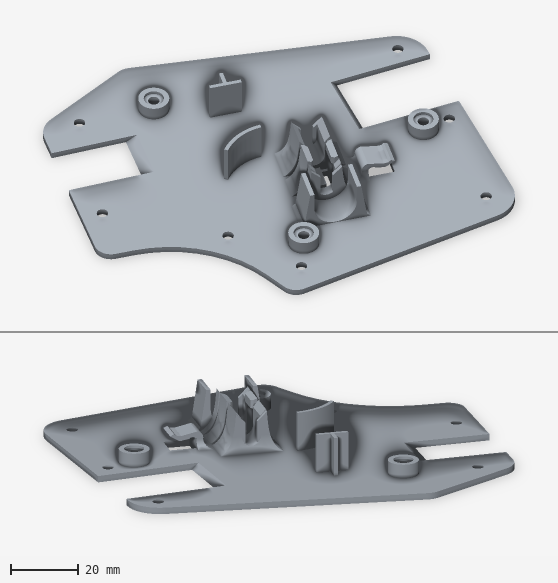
import cadquery as cq
import math

PLATE_T = 2.0
TOP_Z = 15.03
CLEARANCE = 1.0
PLATE_CORNERS = [
    ((8.50, 119.45), 10.0),
    ((89.60, 129.94), 10.0),
    ((107.87, 53.45), 5.0),
    ((77.25, 36.28), 40.0),
    ((77.25, 2.15), 5.0),
    ((17.88, 0.06), 8.0),
    ((-0.09, 30.80), 6.0),
]
HOLE_D = 3.4
HOLES = [
    (13.62, 112.13), (47.06, 118.71), (82.66, 120.18), (97.22, 58.96),
    (78.56, 41.47), (59.06, 8.03), (19.20, 12.06),
]

TOP_NOTCH = dict(corner=(22.29, 88.91), width=22.1, depth=36.0, angle=7.0, bevel=2.0)
BOTTOM_NOTCH = dict(corner=(45.75, 27.77), width=16.9, depth=32.0, angle=182.0, bevel=3.5)

BOSSES = [(49.55, 109.97), (87.80, 62.29), (19.25, 35.04)]
BOSS_D = 9.25
BOSS_H = 4.3
BOSS_RECESS_D = 6.0
BOSS_RECESS_DEPTH = 1.0

GUIDE_TOP_Z = 14.0
GUIDE_T = 1.2
TEE_X = 26.3
TEE_Y = 55.05
TEE_FLANGE = 9.8
TEE_STEM = 4.3
CURVED_CENTER = (64.55, 61.6)
CURVED_R = 17.2
CURVED_START = 184.5
CURVED_END = 235.2

CLIP_Y = 73.95
LEFT_X = (47.8, 58.3)
MIDDLE_X = (59.7, 67.26)
RIGHT_X = (68.4, 71.6)
ARM_BASE = 9.7
ARM_TIP = 4.7
ARM_WAIST = (5.85, 7.0)
ARM_TIP_SLOPE = (0.1, -1.0)
ARM_FOOT_SLOPE = (1.0, -0.45)
BORE_R = 3.0
BORE_Z = 7.3
LEAD_IN_Z = 13.0
FLARE_X = 1.1
FLARE_Z = 7.1
FLARE_SAG = 0.25
LIP_T = 1.1
LIP_Y = 1.9
LIP_Z = 11.7
LIP_RIM_Z = 14.5
BARB_Y = 2.76
BARB_TOP_Z = 14.4
BARB_BOTTOM_Z = 11.9
BARB_CHAMFER = 0.8
SLOT_Y = (1.15, 3.6)
SLOT_X = (59.3, 67.55)

CRADLE_X = (71.46, 81.55)
CRADLE_TOP_Z = 14.75
CRADLE_R = 6.55
CRADLE_AXIS_Z = 8.8
CRADLE_TIP = 7.9
CRADLE_FOOT = 9.67
CRADLE_BASE = 10.9
CRADLE_FOOT_Z = 3.1

TAB_X = (57.1, 65.0)
TAB_BASE_X = (54.46, 67.2)
TAB_OUT = 14.75
TAB_IN = 12.7
TAB_COLUMN_Z = 4.8
TAB_FOOT_MIDDLE = (11.9, 2.8)
TAB_END = 22.9
CURL_SHOULDER = [(13.1, 6.4), (14.6, 7.2)]
CURL_TOP = [(19.5, 6.2), (20.9, 6.3), (21.7, 7.0), (TAB_END, 6.4), (21.1, 5.3)]
CURL_BELLY = [(20.1, 4.75), (18.9, 4.8)]
CURL_ARMPIT_START = (17.0, 5.1)
CURL_ARMPIT = [(15.4, 5.4), (TAB_OUT, TAB_COLUMN_Z)]


def rounded_outline(corners):
    """Closed wire through the corners, each replaced by a tangent arc."""
    path = None
    for i, (corner, radius) in enumerate(corners):
        here = cq.Vector(*corner)
        to_prev = (cq.Vector(*corners[i - 1][0]) - here).normalized()
        to_next = (cq.Vector(*corners[(i + 1) % len(corners)][0]) - here).normalized()
        half = to_prev.getAngle(to_next) / 2
        bisector = (to_prev + to_next).normalized()
        start = here + to_prev * (radius / math.tan(half))
        end = here + to_next * (radius / math.tan(half))
        middle = here + bisector * (radius / math.sin(half) - radius)
        if path is None:
            path = cq.Workplane("XY").moveTo(start.x, start.y)
        else:
            path = path.lineTo(start.x, start.y)
        path = path.threePointArc((middle.x, middle.y), (end.x, end.y))
    return path.close()


def notch(corner, width, depth, angle, bevel):
    """Cutter for an edge notch whose floor slopes outwards towards the underside."""
    side = [(bevel, 0), (0, PLATE_T), (depth, PLATE_T), (depth, 0)]
    cutter = cq.Workplane("YZ").polyline(side).close().extrude(width)
    return cutter.rotate((0, 0, 0), (0, 0, 1), angle).translate((*corner, 0))


def box_between(x, y, z):
    """Box given by its (low, high) limits; y is measured from the clip axis."""
    size = [high - low for low, high in (x, y, z)]
    return cq.Workplane("XY").box(*size, centered=False).translate((x[0], CLIP_Y + y[0], z[0]))


def make_plate():
    plate = rounded_outline(PLATE_CORNERS).extrude(PLATE_T)
    plate = plate.cut(notch(**TOP_NOTCH)).cut(notch(**BOTTOM_NOTCH))
    return plate.cut(cq.Workplane("XY").pushPoints(HOLES).circle(HOLE_D / 2).extrude(PLATE_T))


def add_bosses(body):
    top = PLATE_T + BOSS_H
    body = body.union(cq.Workplane("XY").pushPoints(BOSSES).circle(BOSS_D / 2).extrude(top))
    body = body.cut(cq.Workplane("XY").pushPoints(BOSSES).circle(HOLE_D / 2).extrude(top))
    recess = cq.Workplane("XY", origin=(0, 0, top)).pushPoints(BOSSES)
    return body.cut(recess.circle(BOSS_RECESS_D / 2).extrude(-BOSS_RECESS_DEPTH))


def make_tee():
    flange = cq.Workplane("XY").box(GUIDE_T, TEE_FLANGE, GUIDE_TOP_Z, centered=(False, True, False))
    stem = cq.Workplane("XY").box(TEE_STEM, GUIDE_T, GUIDE_TOP_Z, centered=(False, True, False))
    return flange.union(stem.translate((-TEE_STEM, 0, 0))).translate((TEE_X, TEE_Y, 0))


def make_curved_wall():
    def point(radius, degrees):
        angle = math.radians(degrees)
        return (CURVED_CENTER[0] + radius * math.cos(angle), CURVED_CENTER[1] + radius * math.sin(angle))

    inner = CURVED_R - GUIDE_T / 2
    outer = CURVED_R + GUIDE_T / 2
    halfway = (CURVED_START + CURVED_END) / 2
    return (
        cq.Workplane("XY").moveTo(*point(outer, CURVED_START))
        .threePointArc(point(outer, halfway), point(outer, CURVED_END))
        .lineTo(*point(inner, CURVED_END))
        .threePointArc(point(inner, halfway), point(inner, CURVED_START))
        .close().extrude(GUIDE_TOP_Z)
    )


def clip_plane(x):
    """YZ sketch plane at x, with its origin on the clip axis at z = 0."""
    return cq.Workplane("YZ", origin=(x, CLIP_Y, 0))


def both_sides(half):
    """A half (y > 0) together with its mirror image across the clip axis."""
    return half.union(half.mirror("XZ", (0, CLIP_Y, 0)))


def clip_outside(x):
    """Half of a segment's outside: a concave flank that sweeps out to the foot."""
    return (
        clip_plane(x[0]).lineTo(0, TOP_Z).lineTo(ARM_TIP, TOP_Z)
        .spline([ARM_WAIST, (ARM_BASE, PLATE_T)],
                tangents=[ARM_TIP_SLOPE, ARM_FOOT_SLOPE], includeCurrent=True)
        .lineTo(ARM_BASE, 0).close().extrude(x[1] - x[0])
    )


def clip_mouth(x, half_width, throat_z, rim_z):
    """Half of a cutter: bore bottom, straight wall up to throat_z, then a slope to rim_z."""
    above = TOP_Z + CLEARANCE
    half_angle = math.asin(half_width / BORE_R) / 2
    wall_foot_z = BORE_Z - BORE_R * math.cos(2 * half_angle)
    middle = (BORE_R * math.sin(half_angle), BORE_Z - BORE_R * math.cos(half_angle))
    return (
        clip_plane(x[0]).moveTo(0, BORE_Z - BORE_R)
        .threePointArc(middle, (half_width, wall_foot_z)).lineTo(half_width, throat_z)
        .lineTo(ARM_TIP, rim_z).lineTo(ARM_TIP, above).lineTo(0, above)
        .close().extrude(x[1] - x[0])
    )


def make_left_segment():
    face_x = LEFT_X[0] + FLARE_X
    lip_x = (face_x, face_x + LIP_T)
    half = clip_outside(LEFT_X)
    for bore_x in ((LEFT_X[0], lip_x[0]), (lip_x[1], LEFT_X[1])):
        half = half.cut(clip_mouth(bore_x, BORE_R, LEAD_IN_Z, TOP_Z))
    half = half.cut(clip_mouth(lip_x, LIP_Y, LIP_Z, LIP_RIM_Z))
    flare_middle = (face_x - FLARE_X * FLARE_SAG, (PLATE_T + FLARE_Z) / 2)
    end_cutter = (
        cq.Workplane("XZ", origin=(0, CLIP_Y, 0)).moveTo(LEFT_X[0], PLATE_T)
        .threePointArc(flare_middle, (face_x, FLARE_Z))
        .lineTo(face_x, TOP_Z).lineTo(LEFT_X[0], TOP_Z).close().extrude(-ARM_BASE)
    )
    return both_sides(half.cut(end_cutter))


def make_right_segment():
    lip_x = (RIGHT_X[1] - LIP_T, RIGHT_X[1])
    bore_x = (RIGHT_X[0], lip_x[0])
    half = clip_outside(RIGHT_X)
    half = half.cut(clip_mouth(bore_x, BORE_R, LEAD_IN_Z, TOP_Z))
    return both_sides(half.cut(clip_mouth(lip_x, LIP_Y, LIP_Z, LIP_RIM_Z)))


def make_middle_segment():
    half = clip_outside(MIDDLE_X)
    half = half.cut(clip_mouth(MIDDLE_X, BARB_Y, BARB_TOP_Z, TOP_Z))
    undercut = box_between(MIDDLE_X, SLOT_Y, (PLATE_T, BARB_BOTTOM_Z))
    half = half.cut(undercut)
    for x, inward in ((MIDDLE_X[0], BARB_CHAMFER), (MIDDLE_X[1], -BARB_CHAMFER)):
        corner = cq.Workplane("XY", origin=(x, CLIP_Y + BARB_Y, BARB_BOTTOM_Z))
        corner = corner.lineTo(inward, 0).lineTo(0, BARB_CHAMFER).close()
        half = half.cut(corner.extrude(TOP_Z - BARB_BOTTOM_Z))
    return both_sides(half)


def make_cradle():
    diagonal = CRADLE_R * math.sqrt(0.5)
    half = (
        clip_plane(CRADLE_X[0]).moveTo(0, 0).lineTo(CRADLE_BASE, 0).lineTo(CRADLE_BASE, PLATE_T)
        .lineTo(CRADLE_FOOT, CRADLE_FOOT_Z).lineTo(CRADLE_TIP, CRADLE_TOP_Z)
        .lineTo(CRADLE_R, CRADLE_TOP_Z).lineTo(CRADLE_R, CRADLE_AXIS_Z)
        .threePointArc((diagonal, CRADLE_AXIS_Z - diagonal), (0, CRADLE_AXIS_Z - CRADLE_R))
        .close().extrude(CRADLE_X[1] - CRADLE_X[0])
    )
    return both_sides(half)


def make_tab():
    """Curled spring tab on a column that flares out to the plate on three sides."""
    foot = (
        clip_plane(TAB_BASE_X[0]).moveTo(ARM_BASE, 0).lineTo(TAB_OUT, 0).lineTo(TAB_OUT, TAB_COLUMN_Z)
        .lineTo(TAB_IN, TAB_COLUMN_Z)
        .threePointArc(TAB_FOOT_MIDDLE, (ARM_BASE, PLATE_T))
        .close().extrude(TAB_BASE_X[1] - TAB_BASE_X[0])
    )
    flare_h = TAB_COLUMN_Z - PLATE_T
    left_w = TAB_X[0] - TAB_BASE_X[0]
    right_w = TAB_BASE_X[1] - TAB_X[1]
    sag = 1 - math.sqrt(0.5)
    left_middle = (TAB_X[0] - sag * left_w, PLATE_T + sag * flare_h)
    right_middle = (TAB_X[1] + sag * right_w, PLATE_T + sag * flare_h)
    column = (
        cq.Workplane("XZ", origin=(0, CLIP_Y, 0)).moveTo(TAB_BASE_X[0], 0).lineTo(TAB_BASE_X[0], PLATE_T)
        .threePointArc(left_middle, (TAB_X[0], TAB_COLUMN_Z))
        .lineTo(TAB_X[1], TAB_COLUMN_Z)
        .threePointArc(right_middle, (TAB_BASE_X[1], PLATE_T))
        .lineTo(TAB_BASE_X[1], 0).close().extrude(-TAB_END)
    )
    curl = (
        clip_plane(TAB_X[0]).moveTo(TAB_IN, TAB_COLUMN_Z)
        .threePointArc(*CURL_SHOULDER).polyline(CURL_TOP, includeCurrent=True)
        .threePointArc(*CURL_BELLY).lineTo(*CURL_ARMPIT_START)
        .threePointArc(*CURL_ARMPIT)
        .close().extrude(TAB_X[1] - TAB_X[0])
    )
    return foot.intersect(column).union(curl)


def cut_plate_slots(body):
    """Openings through the plate under the tab and under the snap barbs."""
    body = body.cut(box_between(TAB_X, (TAB_OUT, TAB_END), (0, PLATE_T)))
    for side in (1, -1):
        near, far = sorted((side * SLOT_Y[0], side * SLOT_Y[1]))
        body = body.cut(box_between(SLOT_X, (near, far), (0, BORE_Z)))
    return body


result = add_bosses(make_plate())
for feature in (make_tee(), make_curved_wall(), make_left_segment(), make_middle_segment(),
                make_right_segment(), make_cradle(), make_tab()):
    result = result.union(feature)
result = cut_plate_slots(result)